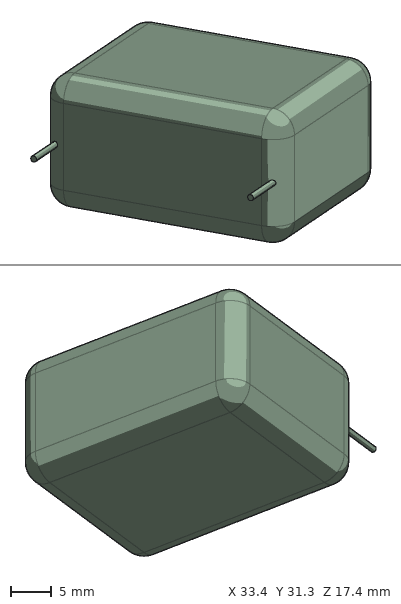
import cadquery as cq

body_width = 33.4
body_depth = 25.8
body_height = 17.4
edge_radius = 3.0

overall_depth = 31.3
lead_spacing = 30.0
lead_diameter = 0.8
lead_projection = overall_depth - body_depth


def make_body():
    """Block with every edge rounded."""
    block = cq.Workplane("XY").box(body_width, body_depth, body_height)
    return block.edges().fillet(edge_radius)


def make_lead(x):
    """Round lead along -Y, rooted inside the body behind the rounded edge."""
    root_y = -body_depth / 2 + edge_radius
    return (
        cq.Workplane("XZ", origin=(x, root_y, 0))
        .circle(lead_diameter / 2)
        .extrude(edge_radius + lead_projection)
    )


result = make_body()
for side in (-1, 1):
    result = result.union(make_lead(side * lead_spacing / 2))